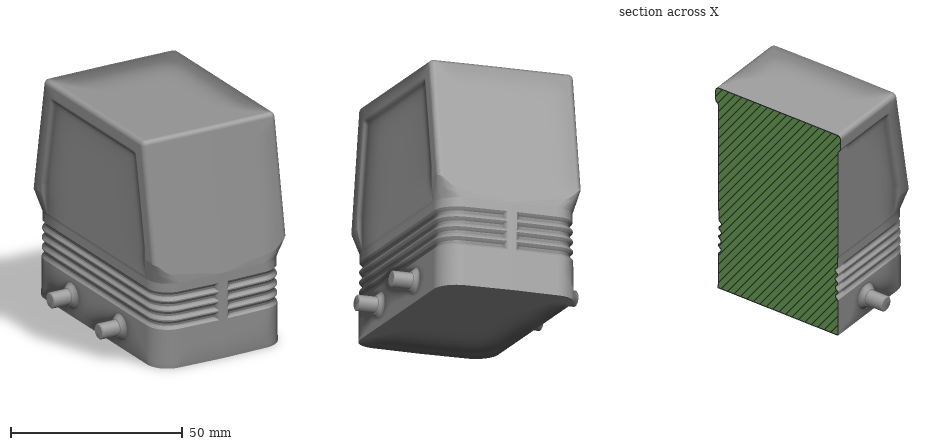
import cadquery as cq
import math

length = 72.99
pin_span = 58.0
height = 70.0

skirt_half_length = length / 2
skirt_half_width = 21.7
skirt_corner_radius = 7.0
skirt_top = 26.7
skirt_draft = 0.01
skirt_end_fold = 0.026

groove_bottom = 12.0
groove_top = 24.1
groove_count = 4
groove_depth = 0.9
groove_floor_width = 0.65
ridge_half_flat = 0.2
end_strip_half_width = 1.25

hood_half_width = 22.6
hood_top_half_length = 28.6
hood_end_fold = 0.008
hood_edge_radius = 1.5

shoulder_top = 33.5
shoulder_end_narrowing = 0.5

recess_depth = 1.05
recess_top = 64.1
recess_knee = 36.6
recess_top_half_length = 23.15
recess_knee_half_length = 28.2
recess_wall_slope = 45.0
recess_corner_radius = 1.5
recess_edge_radius = 1.0
recess_spread = recess_depth * math.tan(math.radians(recess_wall_slope))

pin_half_spacing = 13.8
pin_height = 6.4
pin_radius = 2.4
pin_chamfer = 0.3
pin_root_radius = 4.0
pin_root_length = 1.4
pin_root_end_radius = 2.65


def skirt_inset(z):
    """Inward draft of the skirt wall at height z."""
    return skirt_draft * z


def outline(half_length, half_width, corner_radius, end_fold, z):
    """Closed wire of a rounded rectangle whose short ends are folded outwards at y = 0."""
    fold_angle = math.atan(end_fold)
    centre_y = half_width - corner_radius
    centre_x = half_length - end_fold * centre_y - corner_radius / math.cos(fold_angle)

    def on_corner(angle):
        return (
            centre_x + corner_radius * math.cos(angle),
            centre_y + corner_radius * math.sin(angle),
        )

    end_x, end_y = on_corner(fold_angle)
    mid_x, mid_y = on_corner((fold_angle + math.pi / 2) / 2)
    side_x, side_y = on_corner(math.pi / 2)
    return (
        cq.Workplane("XY", origin=(0, 0, z))
        .moveTo(half_length, 0)
        .lineTo(end_x, end_y)
        .threePointArc((mid_x, mid_y), (side_x, side_y))
        .lineTo(-side_x, side_y)
        .threePointArc((-mid_x, mid_y), (-end_x, end_y))
        .lineTo(-half_length, 0)
        .lineTo(-end_x, -end_y)
        .threePointArc((-mid_x, -mid_y), (-side_x, -side_y))
        .lineTo(side_x, -side_y)
        .threePointArc((mid_x, -mid_y), (end_x, -end_y))
        .close()
        .val()
    )


def skirt_outline(z, depth=0.0):
    """Skirt section at height z, sunk inwards by depth."""
    inset = skirt_inset(z) + depth
    return outline(
        skirt_half_length - inset,
        skirt_half_width - inset,
        skirt_corner_radius - depth,
        skirt_end_fold,
        z,
    )


def ruled_loft(wires):
    """Solid with straight-ruled walls through the given sections."""
    return cq.Workplane(cq.Solid.makeLoft(wires, True))


def make_skirt():
    """Skirt with trapezoidal grooves that stop short of the middle of each end."""
    pitch = (groove_top - groove_bottom) / groove_count
    sections = [skirt_outline(0)]
    for index in range(groove_count):
        start = groove_bottom + index * pitch
        middle = start + pitch / 2
        sections += [
            skirt_outline(start + ridge_half_flat),
            skirt_outline(middle - groove_floor_width / 2, groove_depth),
            skirt_outline(middle + groove_floor_width / 2, groove_depth),
            skirt_outline(start + pitch - ridge_half_flat),
        ]
    sections.append(skirt_outline(skirt_top))
    grooved = ruled_loft(sections)
    plain = ruled_loft([skirt_outline(0), skirt_outline(skirt_top)])

    outer = skirt_half_length
    reach = 2 * groove_depth
    strips = cq.Workplane("XY")
    for side in (-1, 1):
        strip = (
            cq.Workplane("XY")
            .polyline([
                (side * outer, -end_strip_half_width),
                (side * outer, end_strip_half_width),
                (side * (outer - reach), end_strip_half_width + reach),
                (side * (outer - reach), -end_strip_half_width - reach),
            ])
            .close()
            .extrude(skirt_top)
        )
        strips = strips.add(strip)
    return grooved.union(plain.intersect(strips.combine()))


def recess_outline(depth):
    """Recess section at a depth below the broad face; its sloped walls close in with depth."""
    spread = (recess_depth - depth) * math.tan(math.radians(recess_wall_slope))
    lean = math.atan2(recess_knee_half_length - recess_top_half_length, recess_top - recess_knee)
    knee_x = recess_knee_half_length + spread
    knee_z = recess_knee + spread * math.tan(lean / 2)
    top_x = recess_top_half_length + spread / math.cos(lean) - spread * math.tan(lean)
    top_z = recess_top + spread
    return (
        cq.Workplane("XZ", origin=(0, -hood_half_width + depth, 0))
        .polyline([
            (-knee_x, skirt_top),
            (-knee_x, knee_z),
            (-top_x, top_z),
            (top_x, top_z),
            (knee_x, knee_z),
            (knee_x, skirt_top),
        ])
        .close()
        .val()
    )


def make_recess():
    """Cutter for the front label recess, reaching down to the skirt and out past the broad face."""
    cutter = ruled_loft([recess_outline(recess_depth), recess_outline(-recess_depth)])
    upper_corners = cq.selectors.BoxSelector(
        (-hood_top_half_length, -hood_half_width - recess_depth / 2, recess_top),
        (hood_top_half_length, -hood_half_width + recess_depth / 2, height),
    )
    cutter = cutter.edges(upper_corners).fillet(recess_corner_radius)
    return cutter.faces(">Y").edges("not <Z").fillet(recess_edge_radius)


def fillet_recess_rims(body):
    """Round the edges where the recess walls meet the broad faces."""
    margin = recess_depth / 4
    reach = recess_knee_half_length + recess_spread + margin
    rim_top = recess_top + recess_spread + margin
    for side in (-1, 1):
        rim = cq.selectors.BoxSelector(
            (-reach, side * (hood_half_width - margin), skirt_top),
            (reach, side * (hood_half_width + margin), rim_top),
        )
        body = body.edges(rim).fillet(recess_edge_radius)
    return body


def make_hood():
    """Tapered hood with rounded edges, trimmed below by the flared shoulder."""
    skirt_top_half_length = skirt_half_length - skirt_inset(skirt_top)

    def section(half_length, z):
        corner_x = half_length - hood_end_fold * hood_half_width
        corners = [
            (half_length, 0),
            (corner_x, hood_half_width),
            (-corner_x, hood_half_width),
            (-half_length, 0),
            (-corner_x, -hood_half_width),
            (corner_x, -hood_half_width),
        ]
        return cq.Workplane("XY", origin=(0, 0, z)).polyline(corners).close().val()

    body = ruled_loft([section(skirt_top_half_length, skirt_top), section(hood_top_half_length, height)])
    broad_edges = body.faces("<Y or >Y").edges("not <Z")
    body = broad_edges.add(body.faces(">Z").edges()).fillet(hood_edge_radius)
    recess = make_recess()
    body = body.cut(recess).cut(recess.mirror("XZ"))
    body = fillet_recess_rims(body)

    shoulder = ruled_loft([
        skirt_outline(skirt_top),
        outline(
            skirt_top_half_length - shoulder_end_narrowing,
            hood_half_width,
            hood_edge_radius,
            skirt_end_fold,
            shoulder_top,
        ),
    ])
    above = cq.Workplane("XY", origin=(0, 0, shoulder_top)).box(
        length, 2 * hood_half_width, height - shoulder_top, centered=(True, True, False)
    )
    return body.intersect(above).union(body.intersect(shoulder))


def make_pins():
    """Two chamfered locking pins crossing the skirt, each with a conical root where it leaves the wall."""
    wall = skirt_half_width - skirt_inset(pin_height)
    tip = pin_span / 2
    profile = (
        cq.Workplane("XY")
        .moveTo(0, 0)
        .lineTo(pin_root_radius, 0)
        .lineTo(pin_root_radius, wall)
        .lineTo(pin_root_end_radius, wall + pin_root_length)
        .lineTo(pin_radius, wall + pin_root_length)
        .lineTo(pin_radius, tip - pin_chamfer)
        .lineTo(pin_radius - pin_chamfer, tip)
        .lineTo(0, tip)
        .close()
    )
    half_pin = profile.revolve(360, (0, 0, 0), (0, 1, 0))
    pin = half_pin.union(half_pin.mirror("XZ"))
    pins = cq.Workplane("XY")
    for x in (-pin_half_spacing, pin_half_spacing):
        pins = pins.add(pin.translate((x, 0, pin_height)))
    return pins.combine()


result = make_skirt().union(make_hood()).union(make_pins())